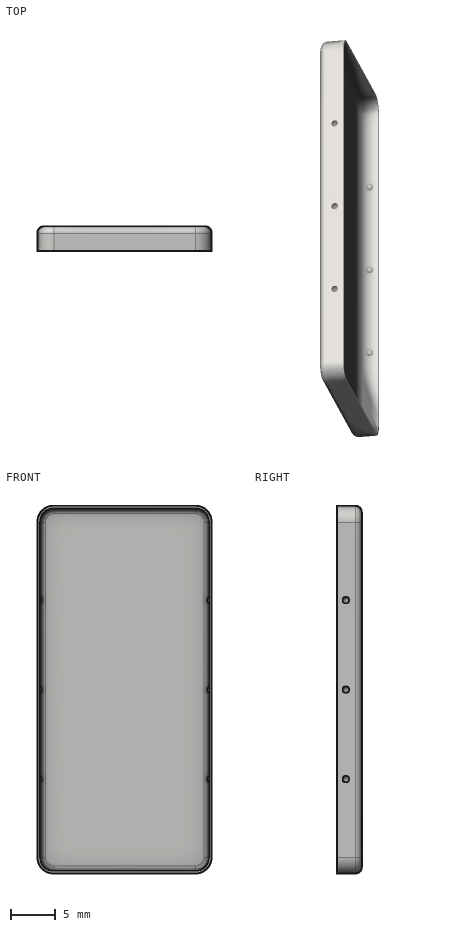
import cadquery as cq

width = 19.5
depth = 2.8
height = 41.1
wall = 0.305
floor = 0.4

corner_radius = 1.85
back_edge_radius = 0.8
inner_edge_radius = 0.58

dimple_radius = 0.35
bump_radius = 0.5
dimple_pitch = 10.0
dimple_from_rim = 1.0
dimple_count = 3


def rounded_block(inset, block_depth, edge_radius):
    """Block behind the rim plane, rounded at the corners and back, with its sides inset."""
    block = cq.Workplane("XY").box(width - 2 * inset, block_depth, height - 2 * inset)
    block = block.translate((0, block_depth / 2, 0))
    block = block.edges("|Y").fillet(corner_radius - inset)
    return block.faces(">Y").edges().fillet(edge_radius)


def dimple_sphere(side, z, radius):
    """Sphere centred on the outer surface of one side wall (side is -1 or 1)."""
    centre = (side * width / 2, dimple_from_rim, z)
    return cq.Workplane("XY").sphere(radius).translate(centre)


def dimples(radius):
    """All dimple spheres of the given radius, as a list of workplanes."""
    spheres = []
    for side in (-1, 1):
        for index in range(dimple_count):
            z = (index - (dimple_count - 1) / 2) * dimple_pitch
            spheres.append(dimple_sphere(side, z, radius))
    return spheres


outer = rounded_block(0, depth, back_edge_radius)
cavity = rounded_block(wall, depth - floor, inner_edge_radius)

for bump in dimples(bump_radius):
    cavity = cavity.cut(bump, clean=False)

result = outer.cut(cavity, clean=False)

for hollow in dimples(dimple_radius):
    result = result.cut(hollow, clean=False)